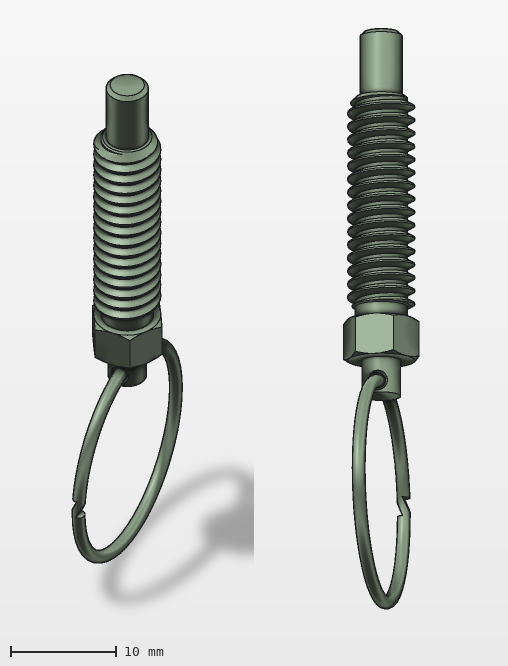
import cadquery as cq
import math

TOTAL_HEIGHT = 55.6
HOUSING_TOP = 49.3
THREAD_BOTTOM = 28.95
HEX_TOP = 27.7
HEX_HEIGHT = 3.9
HEX_BOTTOM = HEX_TOP - HEX_HEIGHT
PLUNGER_BOTTOM = 20.35

HEX_ACROSS_FLATS = 6.35
HEX_ACROSS_CORNERS = HEX_ACROSS_FLATS / math.cos(math.radians(30))
HEX_CHAMFER_ANGLE = 30
THREAD_RADIUS = HEX_ACROSS_FLATS / 2
CORE_RADIUS = 2.5
HOUSING_TOP_RADIUS = 2.35
THREAD_TURNS = 16
THREAD_PITCH = (HOUSING_TOP - THREAD_BOTTOM) / THREAD_TURNS
THREAD_CREST = THREAD_PITCH / 8
THREAD_FLANK_ANGLE = 30
THREAD_PEAK_HEIGHT = 48.3
RIDGE_OVERLAP = 0.1

PIN_RADIUS = 2.0
PIN_CHAMFER = 0.4
STUB_RADIUS = 1.85
RING_HOLE_RADIUS = 0.7
RING_HOLE_HEIGHT = 21.5
HOLE_CHAMFER = 0.2

RING_OUTER_DIAMETER = 22.2
RING_OUTER_RADIUS = RING_OUTER_DIAMETER / 2
WIRE_RADIUS = 0.6
RING_RADIUS = RING_OUTER_RADIUS - WIRE_RADIUS
NOTCH_HEIGHT = 1.4
NOTCH_TOP_OFFSET = 0.9
NOTCH_RISE = 0.8


def cylinder(radius, bottom, top):
    return cq.Workplane("XY").workplane(offset=bottom).circle(radius).extrude(top - bottom)


def make_thread_ridge():
    """Right-handed ridge, trimmed at the relief groove and by the 45 degree lead-in at the top."""
    ridge_depth = THREAD_RADIUS - CORE_RADIUS + RIDGE_OVERLAP
    half_crest = THREAD_CREST / 2
    half_base = half_crest + ridge_depth * math.tan(math.radians(THREAD_FLANK_ANGLE))

    turns_down = math.ceil((THREAD_PEAK_HEIGHT - THREAD_BOTTOM) / THREAD_PITCH) + 1
    start = THREAD_PEAK_HEIGHT - (turns_down + 0.5) * THREAD_PITCH
    length = math.ceil((HOUSING_TOP - start) / THREAD_PITCH + 1) * THREAD_PITCH
    inner_radius = THREAD_RADIUS - ridge_depth
    helix = cq.Wire.makeHelix(THREAD_PITCH, length, inner_radius, cq.Vector(0, 0, start))
    profile = cq.Workplane("XZ").polyline([
        (inner_radius, start - half_base),
        (THREAD_RADIUS, start - half_crest),
        (THREAD_RADIUS, start + half_crest),
        (inner_radius, start + half_base),
    ]).close()
    ridge = profile.sweep(cq.Workplane(helix), isFrenet=True)

    lead_in = THREAD_RADIUS - HOUSING_TOP_RADIUS + RIDGE_OVERLAP
    envelope = cylinder(THREAD_RADIUS + RIDGE_OVERLAP, THREAD_BOTTOM, HOUSING_TOP)
    return ridge.intersect(envelope.faces(">Z").chamfer(lead_in))


def make_hex_collar():
    """Hexagon with corners on the X axis, both ends chamfered by a cone."""
    corner_radius = HEX_ACROSS_CORNERS / 2
    flat_radius = HEX_ACROSS_FLATS / 2
    drop = (corner_radius - flat_radius) * math.tan(math.radians(HEX_CHAMFER_ANGLE))
    prism = (
        cq.Workplane("XY").workplane(offset=HEX_BOTTOM)
        .polygon(6, HEX_ACROSS_CORNERS).extrude(HEX_HEIGHT)
    )
    turned_blank = (
        cq.Workplane("XZ")
        .polyline([
            (0, HEX_BOTTOM),
            (flat_radius, HEX_BOTTOM),
            (corner_radius, HEX_BOTTOM + drop),
            (corner_radius, HEX_TOP - drop),
            (flat_radius, HEX_TOP),
            (0, HEX_TOP),
        ])
        .close().revolve()
    )
    return prism.intersect(turned_blank)


def make_housing():
    core = cylinder(CORE_RADIUS, HEX_TOP, HOUSING_TOP)
    core = core.faces(">Z").chamfer(CORE_RADIUS - HOUSING_TOP_RADIUS)
    pin_bore = cylinder(PIN_RADIUS, HEX_TOP, HOUSING_TOP)
    stub_bore = cylinder(STUB_RADIUS, HEX_BOTTOM, HEX_TOP)
    body = core.union(make_thread_ridge()).union(make_hex_collar())
    return body.cut(pin_bore).cut(stub_bore)


def make_stub():
    """Thin lower end of the plunger, with a hole along Y whose two rims are chamfered."""
    hole = (
        cq.Workplane("XZ").center(0, RING_HOLE_HEIGHT)
        .circle(RING_HOLE_RADIUS).extrude(2 * STUB_RADIUS, both=True)
    )
    stub = cylinder(STUB_RADIUS, PLUNGER_BOTTOM, HEX_TOP).cut(hole)
    for side in (-1, 1):
        rim = cq.selectors.BoxSelector(
            (-RING_HOLE_RADIUS, side * RING_HOLE_RADIUS, RING_HOLE_HEIGHT - RING_HOLE_RADIUS),
            (RING_HOLE_RADIUS, side * 2 * STUB_RADIUS, RING_HOLE_HEIGHT + RING_HOLE_RADIUS),
        )
        stub = stub.edges(rim).chamfer(HOLE_CHAMFER)
    return stub


def make_plunger():
    """Pin that fills the housing bore, carried on the thinner stub."""
    pin = cylinder(PIN_RADIUS, HEX_TOP, TOTAL_HEIGHT).faces(">Z").chamfer(PIN_CHAMFER)
    return pin.union(make_stub())


def make_joint_notch():
    """Wedge cut reaching from the -X side of the wire to its middle, at the joint on the -Y side."""
    notch_top = RING_OUTER_RADIUS + NOTCH_RISE + NOTCH_TOP_OFFSET
    return (
        cq.Workplane("XZ", origin=(0, -RING_RADIUS, 0))
        .polyline([
            (0, notch_top),
            (-2 * WIRE_RADIUS, notch_top),
            (-2 * WIRE_RADIUS, notch_top - 2 * NOTCH_HEIGHT),
        ])
        .close().extrude(2 * WIRE_RADIUS, both=True)
    )


def make_ring():
    """Wire ring whose joint shows as two opposite wedge notches."""
    ring = (
        cq.Workplane("XY", origin=(0, 0, RING_OUTER_RADIUS)).center(0, RING_RADIUS)
        .circle(WIRE_RADIUS).revolve(360, (0, -RING_RADIUS), (1, -RING_RADIUS))
    )
    joint_height = RING_OUTER_RADIUS + NOTCH_RISE
    notch = make_joint_notch()
    opposite_notch = notch.rotate((0, 0, joint_height), (0, 1, joint_height), 180)
    return ring.cut(notch).cut(opposite_notch)


housing = make_housing()
plunger = make_plunger()
ring = make_ring()

result = cq.Compound.makeCompound([
    *housing.solids().vals(),
    *plunger.solids().vals(),
    *ring.solids().vals(),
])